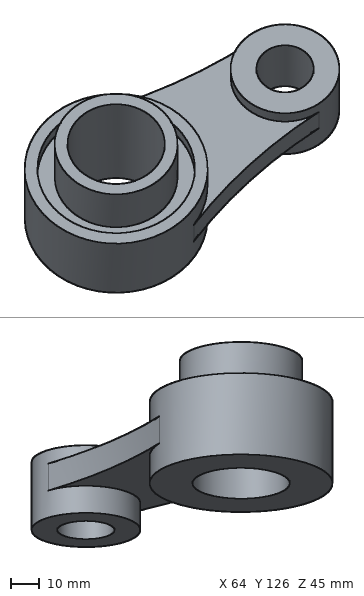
import cadquery as cq
import math

hub_diameter = 64.0
hub_height = 30.0
recess_diameter = 55.0
recess_depth = 5.0
sleeve_diameter = 43.0
sleeve_height = 45.0
hub_bore = 34.0

boss_diameter = 38.0
boss_height = 25.0
boss_bore = 20.0

total_length = 126.0
web_bottom = 10.0
web_thickness = 10.0

hub_radius = hub_diameter / 2
boss_radius = boss_diameter / 2
boss_y = total_length - hub_radius - boss_radius


def cylinder(diameter, height, y=0, z=0):
    """Vertical cylinder centred on X = 0."""
    return cq.Workplane("XY", origin=(0, y, z)).circle(diameter / 2).extrude(height)


def make_web():
    """Web with concave sides that run tangent into the hub and the boss."""
    side_radius = (boss_radius**2 + boss_y**2 - hub_radius**2) / (2 * (hub_radius - boss_radius))
    centre_x = boss_radius + side_radius
    hub_angle = math.atan2(boss_y, centre_x)
    hub_x = hub_radius * math.cos(hub_angle)
    hub_y = hub_radius * math.sin(hub_angle)
    middle_x = centre_x - side_radius * math.cos(hub_angle / 2)
    middle_y = boss_y - side_radius * math.sin(hub_angle / 2)
    return (
        cq.Workplane("XY", origin=(0, 0, web_bottom))
        .moveTo(hub_x, hub_y)
        .threePointArc((middle_x, middle_y), (boss_radius, boss_y))
        .lineTo(-boss_radius, boss_y)
        .threePointArc((-middle_x, middle_y), (-hub_x, hub_y))
        .close()
        .extrude(web_thickness)
    )


body = cylinder(hub_diameter, hub_height)
body = body.union(cylinder(boss_diameter, boss_height, boss_y))
body = body.union(make_web())

body = body.cut(cylinder(recess_diameter, recess_depth, z=hub_height - recess_depth))
body = body.union(cylinder(sleeve_diameter, sleeve_height))

body = body.cut(cylinder(hub_bore, sleeve_height))
result = body.cut(cylinder(boss_bore, boss_height, boss_y))